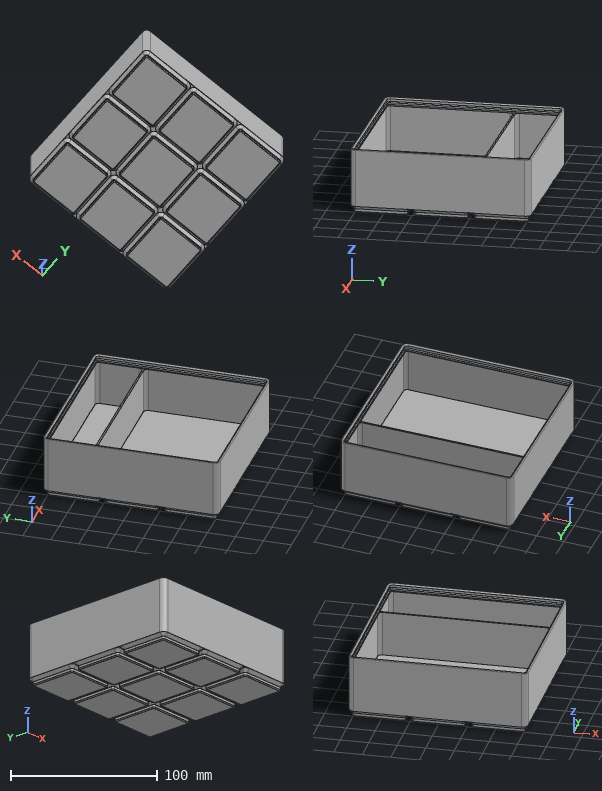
import cadquery as cq
import math

side = 126.0
height = 45.7
wall = 1.22
floor_top = 7.2
compartment_radius = 2.8
corner_radius = compartment_radius + wall

feet_per_side = 3
foot_pitch = side / feet_per_side
foot_height = 5.0
toe_chamfer = 0.8
waist_height = 1.9
waist_top = toe_chamfer + waist_height
waist_inset = foot_height - waist_top
toe_inset = waist_inset + toe_chamfer

rim_round = 0.58
rim_inset = 2.0
rim_wall = 1.8
seat_inset = 2.8
seat_wall = 1.3
sharp_rim = height + rim_round * math.sqrt(2)
rim_slope_bottom = sharp_rim - rim_inset
seat_top = rim_slope_bottom - rim_wall
seat_bottom = seat_top - (seat_inset - rim_inset)
lip_bottom = seat_bottom - seat_wall
underside_bottom = lip_bottom - (seat_inset - wall)

divider_thickness = 1.2
divider_y = 27.6


def rounded_square(size, inset):
    """Square with rounded corners, its sides and corner arcs set in by the same amount."""
    width = size - 2 * inset
    return cq.Sketch().rect(width, width).vertices().fillet(corner_radius - inset)


def slab(size, inset, bottom, top):
    """Upright block with rounded corners between two heights."""
    base = cq.Workplane("XY", (0, 0, bottom))
    return base.placeSketch(rounded_square(size, inset)).extrude(top - bottom)


def tapered_slab(size, bottom_inset, top_inset, bottom, top):
    """Block with rounded corners whose sides slope between two insets."""
    lower = rounded_square(size, bottom_inset)
    upper = rounded_square(size, top_inset).moved(cq.Location(cq.Vector(0, 0, top - bottom)))
    return cq.Workplane("XY", (0, 0, bottom)).placeSketch(lower, upper).loft(ruled=True)


def make_foot(column, row):
    """Foot with a chamfered toe, an upright waist and a shoulder that flares to the full cell."""
    toe = tapered_slab(foot_pitch, toe_inset, waist_inset, 0, toe_chamfer)
    waist = slab(foot_pitch, waist_inset, toe_chamfer, waist_top)
    shoulder = tapered_slab(foot_pitch, waist_inset, 0, waist_top, foot_height)
    first_cell = (foot_pitch - side) / 2
    place = (first_cell + column * foot_pitch, first_cell + row * foot_pitch, 0)
    return toe.union(waist).union(shoulder).translate(place)


def cut_lip(body):
    """Open the top with the stepped lip profile and round the rim."""
    openings = [
        tapered_slab(side, rim_inset, 0, rim_slope_bottom, sharp_rim),
        slab(side, rim_inset, seat_top, rim_slope_bottom),
        tapered_slab(side, seat_inset, rim_inset, seat_bottom, seat_top),
        slab(side, seat_inset, lip_bottom, seat_bottom),
        tapered_slab(side, wall, seat_inset, underside_bottom, lip_bottom),
    ]
    for opening in openings:
        body = body.cut(opening)
    return body.edges(">Z").fillet(rim_round)


def cut_compartment(body, y_min, y_max):
    """Hollow out a compartment between the side walls, with rounded upright corners."""
    base = cq.Workplane("XY", (0, (y_min + y_max) / 2, floor_top))
    block = base.rect(side - 2 * wall, y_max - y_min).extrude(underside_bottom - floor_top)
    return body.cut(block.edges("|Z").fillet(compartment_radius))


def make_bin():
    """Bin with its lip, two compartments and the front row of feet, which is one piece with it."""
    body = cut_lip(slab(side, 0, foot_height, sharp_rim))
    inner_y = side / 2 - wall
    body = cut_compartment(body, -inner_y, divider_y - divider_thickness / 2)
    body = cut_compartment(body, divider_y + divider_thickness / 2, inner_y)
    for column in range(feet_per_side):
        body = body.union(make_foot(column, 0))
    return body


bin_body = make_bin().solids()

separate_feet = []
for row in range(1, feet_per_side):
    for column in range(feet_per_side):
        separate_feet.append(make_foot(column, row).solids().val())

result = cq.Compound.makeCompound([bin_body.val(), *separate_feet])